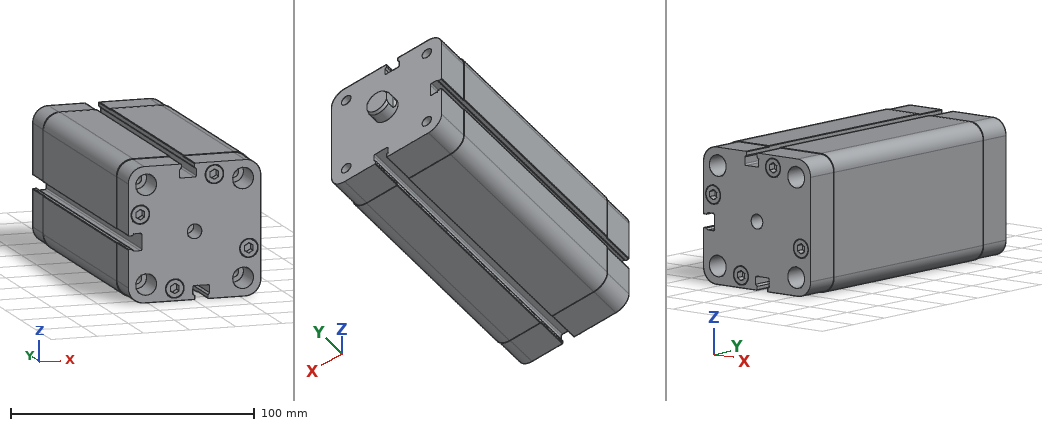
import cadquery as cq
import math


total_length = 132.0
rod_projection = 6.5
cap_length = 14.8
housing_length = total_length - rod_projection
barrel_length = housing_length - 2 * cap_length

barrel_width = 58.1
cap_inset = 0.33
cap_width = barrel_width - 2 * cap_inset
barrel_corner_radius = 7.1
cap_corner_radius = 6.9

slot_offset = 2.9
slot_mouth_width = 5.7
slot_inner_width = 7.3
slot_floor = 22.8
slot_lip = 27.0
slot_floor_radius = 0.7
slot_mouth_chamfer = 0.3
slot_angles = (0, -90, -180)

mounting_spacing = 42.0
mounting_hole_diameter = 4.9
mounting_bore_diameter = 9.0
mounting_bore_depth = 13.2

screw_x = 8.6
screw_z = 23.5
screw_bore_diameter = 8.0
screw_head_diameter = 7.5
screw_head_height = 4.0
socket_across_flats = 3.7
socket_depth = 3.3

center_hole_diameter = 6.2
center_hole_depth = 10.5

rod_diameter = 12.0
rod_across_flats = 10.0
rod_flat_length = 4.5
rod_tip_setback = 1.3
rod_tip_bevel = 0.7


def plane_at(y):
    """Section plane at the given Y, with local X along -X, local Y along Z and normal along +Y."""
    return cq.Workplane(cq.Plane(origin=(0, y, 0), xDir=(-1, 0, 0), normal=(0, 1, 0)))


def cylinder(diameter, start, length, x=0, z=0):
    """Cylinder parallel to Y."""
    axis_start = cq.Vector(x, start, z)
    return cq.Workplane(cq.Solid.makeCylinder(diameter / 2, length, axis_start, cq.Vector(0, 1, 0)))


def turned(shape, angle):
    """Shape turned about the rod axis."""
    return shape.rotate((0, 0, 0), (0, 1, 0), angle)


def slot_cutter(outer_width, start, length):
    """Slot in the top side of a section with the given outer width."""
    top = outer_width / 2
    mouth = slot_mouth_width / 2
    inner = slot_inner_width / 2
    flared = mouth + slot_mouth_chamfer
    shoulder = slot_lip - (inner - mouth)
    half_outline = [
        (inner, slot_floor),
        (inner, shoulder),
        (mouth, slot_lip),
        (mouth, top - slot_mouth_chamfer),
        (flared, top),
    ]
    mirrored_half = [(-x, z) for x, z in reversed(half_outline)]
    cutter = plane_at(start).polyline(half_outline + mirrored_half).close().extrude(length)
    cutter = cutter.faces("<Z").edges("|Y").fillet(slot_floor_radius)
    return cutter.translate((-slot_offset, 0, 0))


def housing_section(width, corner_radius, start, length):
    """Rounded square length of housing with its sensor slots."""
    section = plane_at(start).rect(width, width).extrude(length).edges("|Y").fillet(corner_radius)
    cutter = slot_cutter(width, start, length)
    for angle in slot_angles:
        section = section.cut(turned(cutter, angle))
    return section


def mounting_hole(x, z):
    """Through hole with a counterbore at the closed end."""
    through = cylinder(mounting_hole_diameter, 0, housing_length, x, z)
    return through.union(cylinder(mounting_bore_diameter, 0, mounting_bore_depth, x, z))


def screw_recess(x, z):
    """Gap around a screw head, and the hexagon socket in it."""
    gap = cylinder(screw_bore_diameter, 0, screw_head_height, x, z)
    head = cylinder(screw_head_diameter, 0, screw_head_height, x, z)
    socket_across_corners = socket_across_flats / math.cos(math.pi / 6)
    socket = plane_at(0).polygon(6, socket_across_corners).extrude(socket_depth)
    socket = turned(socket, 90).translate((x, 0, z))
    return gap.cut(head).union(socket)


def piston_rod():
    """Rod end with a bevelled tip and two wrench flats facing -X and +X."""
    radius = rod_diameter / 2
    tip_radius = radius - rod_tip_bevel
    profile = [
        (0, housing_length),
        (radius, housing_length),
        (radius, total_length - rod_tip_setback),
        (tip_radius, total_length),
        (0, total_length),
    ]
    rod = cq.Workplane("XY").polyline(profile).close().revolve(360, (0, 0, 0), (0, 1, 0))
    flat = rod_across_flats / 2
    flat_end = total_length - rod_flat_length
    flat_outline = [
        (flat, total_length),
        (flat, flat_end),
        (radius, flat_end - (radius - flat)),
        (radius, total_length),
    ]
    flat_cutter = cq.Workplane("XY").polyline(flat_outline).close().extrude(radius, both=True)
    return rod.cut(flat_cutter).cut(flat_cutter.mirror("YZ"))


result = housing_section(cap_width, cap_corner_radius, 0, cap_length)
result = result.union(housing_section(barrel_width, barrel_corner_radius, cap_length, barrel_length))
result = result.union(housing_section(cap_width, cap_corner_radius, cap_length + barrel_length, cap_length))
result = result.union(piston_rod())

hole_offset = mounting_spacing / 2
for x in (-hole_offset, hole_offset):
    for z in (-hole_offset, hole_offset):
        result = result.cut(mounting_hole(x, z))

screw_positions = [
    (screw_x, screw_z),
    (screw_z, -screw_x),
    (-screw_x, -screw_z),
    (-screw_z, screw_x),
]
for x, z in screw_positions:
    result = result.cut(screw_recess(x, z))

result = result.cut(cylinder(center_hole_diameter, 0, center_hole_depth))